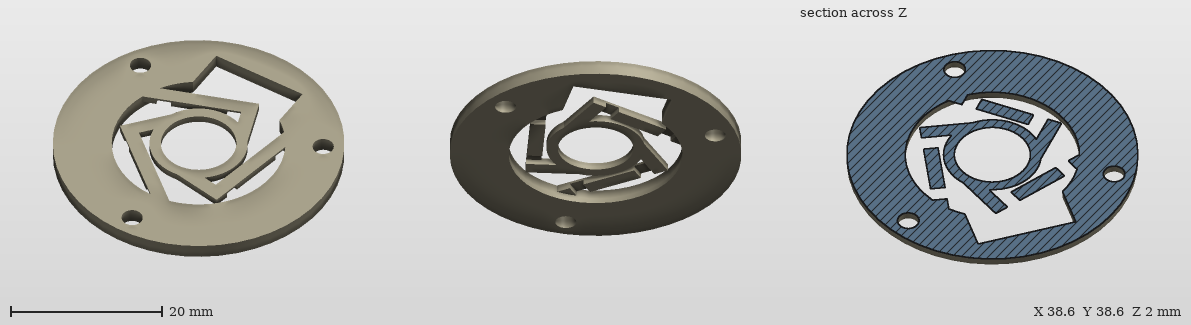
import cadquery as cq
import math

RIM_DIAMETER = 38.6
RIM_THICKNESS = 2.0
OPENING_DIAMETER = 23.0

NOTCH_WIDTH = 13.5
NOTCH_END_Y = 15.1

HOLE_DIAMETER = 2.8
HOLE_CIRCLE_RADIUS = 16.5
HOLE_ANGLES = (30, 150, 270)

RING_BORE = 10.0
RING_OUTER_DIAMETER = 13.0
FLEXURE_THICKNESS = 1.0

ARM_WIDTH = 2.0
ARM_CORNER_RADIUS = 10.9
ARM_CORNER_ANGLES = (74.8, 194.8, 314.8)
ARM_TURN = 124.9
LONG_LEG_LENGTH = 15.5
SHORT_LEG_LENGTH = ARM_CORNER_RADIUS * math.cos(math.radians(ARM_TURN - 90))

HINGE_LENGTH = 2.0
HINGE_THICKNESS = 0.3
HINGE_STARTS = (ARM_WIDTH, 11.5)

FLEXURE_BOTTOM = RIM_THICKNESS - FLEXURE_THICKNESS


def make_rim():
    rim = cq.Workplane("XY").circle(RIM_DIAMETER / 2).circle(OPENING_DIAMETER / 2).extrude(RIM_THICKNESS)
    notch = (
        cq.Workplane("XY")
        .center(0, NOTCH_END_Y / 2)
        .rect(NOTCH_WIDTH, NOTCH_END_Y)
        .extrude(RIM_THICKNESS)
    )
    hole_points = [
        (HOLE_CIRCLE_RADIUS * math.cos(math.radians(a)), HOLE_CIRCLE_RADIUS * math.sin(math.radians(a)))
        for a in HOLE_ANGLES
    ]
    holes = cq.Workplane("XY").pushPoints(hole_points).circle(HOLE_DIAMETER / 2).extrude(RIM_THICKNESS)
    return rim.cut(notch).cut(holes)


def make_arm(corner_angle):
    """Build an arm with its corner at the origin and long leg along +X, then move it into place."""
    arm = (
        cq.Workplane("XY")
        .workplane(offset=FLEXURE_BOTTOM)
        .polyline([
            (0, 0),
            (LONG_LEG_LENGTH, 0),
            (LONG_LEG_LENGTH, ARM_WIDTH),
            (ARM_WIDTH, ARM_WIDTH),
            (ARM_WIDTH, SHORT_LEG_LENGTH),
            (0, SHORT_LEG_LENGTH),
        ])
        .close()
        .extrude(FLEXURE_THICKNESS)
    )
    groove_depth = FLEXURE_THICKNESS - HINGE_THICKNESS
    for start in HINGE_STARTS:
        groove = cq.Workplane("XY").box(HINGE_LENGTH, ARM_WIDTH, groove_depth, centered=False)
        arm = arm.cut(groove.translate((start, 0, FLEXURE_BOTTOM)))
    return (
        arm.rotate((0, 0, 0), (0, 0, 1), ARM_TURN)
        .translate((ARM_CORNER_RADIUS, 0, 0))
        .rotate((0, 0, 0), (0, 0, 1), corner_angle)
    )


def make_flexure():
    flexure = (
        cq.Workplane("XY")
        .workplane(offset=FLEXURE_BOTTOM)
        .circle(RING_OUTER_DIAMETER / 2)
        .extrude(FLEXURE_THICKNESS)
    )
    for corner_angle in ARM_CORNER_ANGLES:
        flexure = flexure.union(make_arm(corner_angle))
    bore = cq.Workplane("XY").circle(RING_BORE / 2).extrude(RIM_THICKNESS)
    return flexure.cut(bore)


result = make_rim().union(make_flexure())